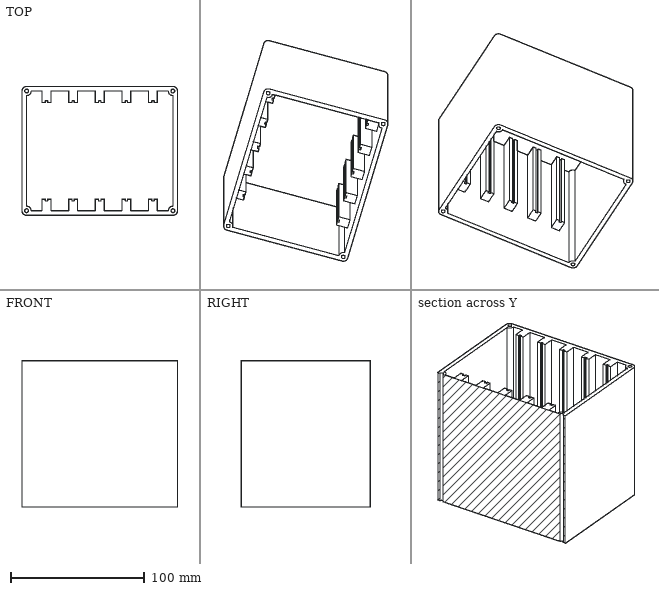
import cadquery as cq

length = 117.0
width = 97.0
height = 110.0
wall = 3.5

corner_radius = 3.5
column_radius = 3.5
screw_hole_diameter = 2.7

rib_count = 5
rib_pitch = 20.0
rib_width = 6.8
rib_reach = 12.3
rib_length = 76.0
groove_width = 1.6
groove_depth = 1.3

column_spacing_x = length - 2 * corner_radius
column_spacing_y = width - 2 * corner_radius
rib_bottom = height - rib_length


def upright_box(size_x, size_y, size_z):
    return cq.Workplane("XY").box(size_x, size_y, size_z, centered=(True, True, False))


def at_columns(workplane):
    return workplane.rect(column_spacing_x, column_spacing_y, forConstruction=True).vertices()


def make_sleeve():
    outside = upright_box(length, width, height).edges("|Z").fillet(corner_radius)
    cavity = upright_box(length - 2 * wall, width - 2 * wall, height)
    columns = at_columns(cq.Workplane("XY")).circle(column_radius).extrude(height)
    screw_holes = at_columns(cq.Workplane("XY")).circle(screw_hole_diameter / 2).extrude(height)
    return outside.cut(cavity).union(columns).cut(screw_holes)


def make_rib(side):
    """Grooved rib centred on X = 0; side is +1 or -1 for the +Y or -Y wall."""
    tip = width / 2 - rib_reach
    root = width / 2 - wall / 2
    body = upright_box(rib_width, root - tip, rib_length).translate((0, side * (root + tip) / 2, 0))
    groove = upright_box(groove_width, 2 * groove_depth, rib_length).translate((0, side * tip, 0))
    return body.cut(groove).translate((0, 0, rib_bottom))


result = make_sleeve()
for side in (1, -1):
    rib = make_rib(side)
    for index in range(rib_count):
        rib_x = (index - (rib_count - 1) / 2) * rib_pitch
        result = result.union(rib.translate((rib_x, 0, 0)))